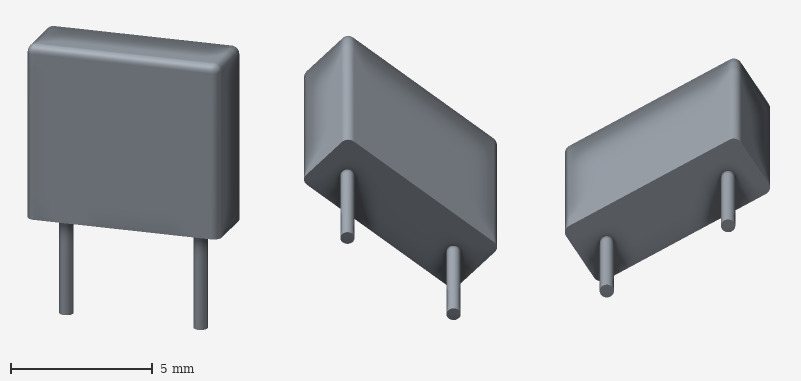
import cadquery as cq

total_height = 10.3
body_width = 7.2
body_depth = 2.5
body_height = 6.5
edge_radius = 0.3

lead_diameter = 0.5
lead_pitch = 5.0
lead_length = total_height - body_height


def make_body():
    """Box standing on Z = 0, with rounded vertical and top edges and a sharp bottom rim."""
    box = cq.Workplane("XY").box(body_width, body_depth, body_height, centered=(True, True, False))
    return box.edges("|Z or >Z").fillet(edge_radius)


def make_lead(x):
    """Round lead hanging from the underside of the body at the given X."""
    return cq.Workplane("XY").center(x, 0).circle(lead_diameter / 2).extrude(-lead_length)


body = make_body()
leads = [make_lead(side * lead_pitch / 2) for side in (-1, 1)]

result = cq.Compound.makeCompound([body.val(), *[lead.val() for lead in leads]])